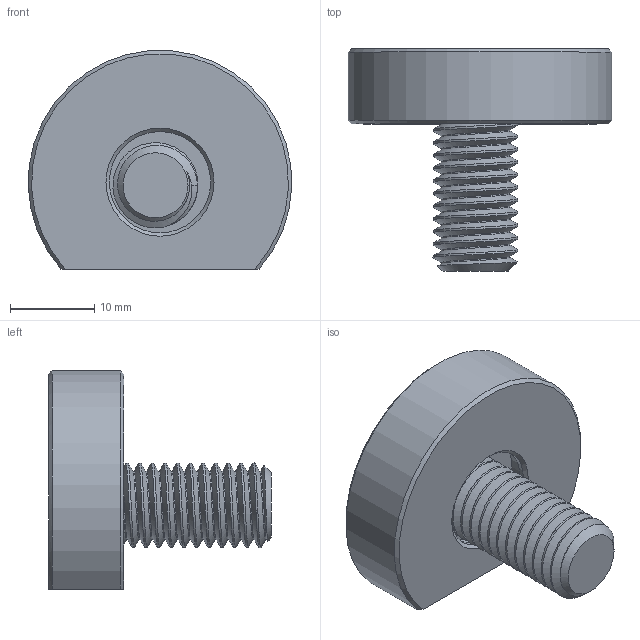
import cadquery as cq
import math


overall_length = 26.37

head_diameter = 31.24
head_thickness = 8.9
head_chamfer = 0.4
head_height = 25.93
flat_distance = head_height - head_diameter / 2

lip_diameter = 12.0
lip_chamfer = 0.4
lip_depth = 1.0
pocket_diameter = 13.2
pocket_depth = 2.9

screw_x = -0.53
screw_z = -0.37
screw_diameter = 10.0
screw_reach = overall_length - head_thickness
tip_diameter = 7.7
pitch = 1.5
flank_angle = 30.0
crest_flat = 0.25
root_diameter = 8.1
crest_reach = 1.5

extra_turns = 2
cutter_rise = 0.05


def make_head():
    disc = (
        cq.Workplane("XZ")
        .circle(head_diameter / 2)
        .extrude(-head_thickness)
        .edges("%CIRCLE")
        .chamfer(head_chamfer)
    )
    below_flat = (
        cq.Workplane("XY")
        .workplane(offset=-flat_distance)
        .rect(head_diameter, 2 * head_thickness)
        .extrude(-head_diameter)
    )
    return disc.cut(below_flat).cut(make_recess()).solids()


def make_recess():
    lip_radius = lip_diameter / 2
    pocket_radius = pocket_diameter / 2
    profile = [
        (0, 0),
        (lip_radius + lip_chamfer, 0),
        (lip_radius, lip_chamfer),
        (lip_radius, lip_depth),
        (pocket_radius, lip_depth),
        (pocket_radius, pocket_depth),
        (0, pocket_depth),
    ]
    return cq.Workplane("XY").polyline(profile).close().revolve(360, (0, 0), (0, 1))


def make_thread_groove(start, length):
    """Right-hand groove along +Z around the Z axis, its middle on the +X side at height start."""
    slope = math.tan(math.radians(flank_angle))
    crest_radius = screw_diameter / 2
    root_radius = root_diameter / 2
    outer_radius = crest_radius + cutter_rise
    crest_half = (pitch - crest_flat) / 2
    root_half = crest_half - (crest_radius - root_radius) * slope
    outer_half = crest_half + cutter_rise * slope
    helix = cq.Wire.makeHelix(pitch, length, root_radius)
    groove = (
        cq.Workplane("XZ")
        .polyline([
            (root_radius, -root_half),
            (root_radius, root_half),
            (outer_radius, outer_half),
            (outer_radius, -outer_half),
        ])
        .close()
        .sweep(cq.Workplane(helix), isFrenet=True)
    )
    return groove.translate((0, 0, start))


def make_screw():
    tip_chamfer = (screw_diameter - tip_diameter) / 2
    shank = (
        cq.Workplane("XY")
        .workplane(offset=-pocket_depth)
        .circle(screw_diameter / 2)
        .extrude(pocket_depth + screw_reach)
        .faces(">Z")
        .chamfer(tip_chamfer)
    )
    turns_behind_crest = math.ceil((crest_reach + pocket_depth) / pitch) + extra_turns
    groove_start = crest_reach + pitch / 2 - turns_behind_crest * pitch
    groove_length = screw_reach - groove_start + extra_turns * pitch
    threaded = shank.cut(make_thread_groove(groove_start, groove_length)).solids()
    return threaded.rotate((0, 0, 0), (1, 0, 0), 90).translate((screw_x, 0, screw_z))


head = make_head()
screw = make_screw()

result = cq.Compound.makeCompound([head.val(), screw.val()])